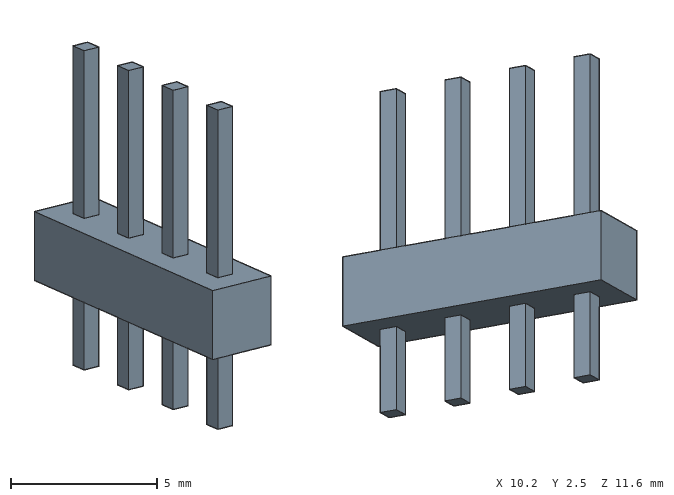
import cadquery as cq

total_height = 11.6
body_length = 10.16
body_width = 2.5
body_height = body_width

pin_count = 4
pin_pitch = body_length / pin_count
pin_side = 0.64
pin_length_below = 3.0


def make_body():
    """Plain housing block standing on the XY plane."""
    return cq.Workplane("XY").box(body_length, body_width, body_height, centered=(True, True, False))


def make_pins():
    """Row of square pins running through the housing."""
    return (
        cq.Workplane("XY")
        .workplane(offset=-pin_length_below)
        .rarray(pin_pitch, 0.12, pin_count, 1)
        .rect(pin_side, pin_side)
        .extrude(total_height)
    )


result = make_body().union(make_pins())